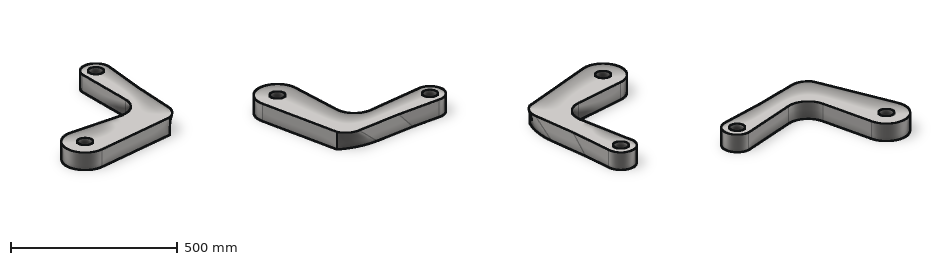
import cadquery as cq
import math

thickness = 59.87
hole_diameter = 48.0
small_eye_radius = 48.0
large_eye_radius = 72.0
large_eye = cq.Vector(382.94, -252.0)

inner_corner = cq.Vector(280.5, -1.1)
inner_corner_radius = 72.0
outer_ridge = cq.Vector(371.2, 46.6)

outer_edge_slope = 0.064
top_bend_x = 154.5
top_elbow_start = cq.Vector(311.0, 75.17)
bottom_bend_x = 99.6
bottom_elbow_start = cq.Vector(240.0, 69.1)


def tangent_point(corner, center, radius, side):
    """Touch point on a circle of the tangent from a corner; side is +1 or -1 (counter-clockwise or not)."""
    to_corner = corner - center
    angle = math.atan2(to_corner.y, to_corner.x) + side * math.acos(radius / to_corner.Length)
    return center + cq.Vector(math.cos(angle), math.sin(angle)) * radius


def rounded_corner(before, corner, after, radius):
    """Start, middle and end points of the arc that rounds a corner between two straight edges."""
    to_before = (before - corner).normalized()
    to_after = (after - corner).normalized()
    half_angle = to_before.getAngle(to_after) / 2
    setback = radius / math.tan(half_angle)
    bisector = (to_before + to_after).normalized()
    middle = corner + bisector * (radius / math.sin(half_angle) - radius)
    return corner + to_before * setback, middle, corner + to_after * setback


def outline(z, bend_x, elbow_start):
    """Closed crank outline at height z, running clockwise from the top of the small eye."""
    small_eye_top = cq.Vector(0, small_eye_radius)
    small_eye_side = cq.Vector(-small_eye_radius, 0)
    small_eye_bottom = cq.Vector(0, -small_eye_radius)
    bend = small_eye_top + cq.Vector(bend_x, bend_x * outer_edge_slope)

    large_eye_outer = tangent_point(outer_ridge, large_eye, large_eye_radius, -1)
    large_eye_inner = tangent_point(inner_corner, large_eye, large_eye_radius, 1)
    large_eye_end = large_eye - cq.Vector(0, large_eye_radius)

    inner_start, inner_middle, inner_end = rounded_corner(
        large_eye_inner, inner_corner, small_eye_bottom, inner_corner_radius
    )

    edges = [
        cq.Edge.makeLine(small_eye_top, bend),
        cq.Edge.makeLine(bend, elbow_start),
        cq.Edge.makeTangentArc(elbow_start, elbow_start - bend, outer_ridge),
        cq.Edge.makeLine(outer_ridge, large_eye_outer),
        cq.Edge.makeThreePointArc(large_eye_outer, large_eye_end, large_eye_inner),
        cq.Edge.makeLine(large_eye_inner, inner_start),
        cq.Edge.makeThreePointArc(inner_start, inner_middle, inner_end),
        cq.Edge.makeLine(inner_end, small_eye_bottom),
        cq.Edge.makeThreePointArc(small_eye_bottom, small_eye_side, small_eye_top),
    ]
    return cq.Wire.assembleEdges(edges).translate(cq.Vector(0, 0, z))


def crank_body():
    """Crank without holes: straight rulings join the bottom outline to the top outline."""
    bottom = outline(0, bottom_bend_x, bottom_elbow_start)
    top = outline(thickness, top_bend_x, top_elbow_start)
    return cq.Workplane(cq.Solid.makeLoft([bottom, top], True))


def eye_holes():
    """Through-hole cutters at both eye centres."""
    centers = [(0, 0), (large_eye.x, large_eye.y)]
    return cq.Workplane().pushPoints(centers).circle(hole_diameter / 2).extrude(thickness)


result = crank_body().cut(eye_holes())